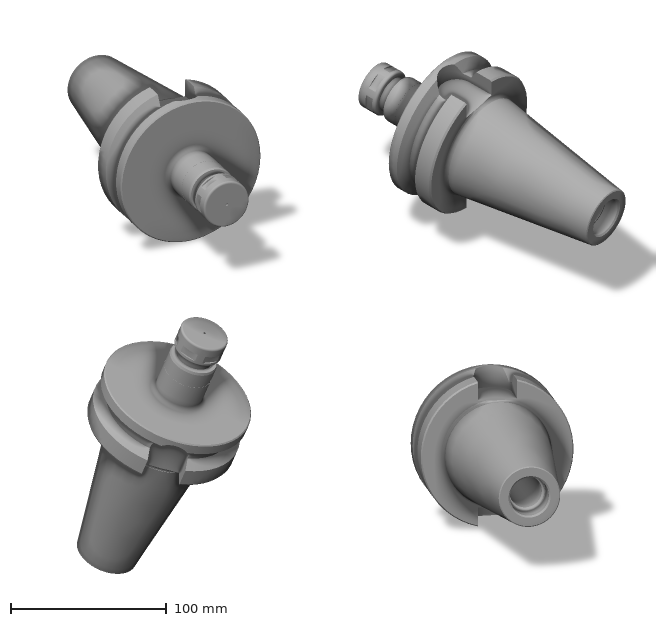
import cadquery as cq
import math

TOTAL_LENGTH = 191.8
GAUGE_X = 101.8
GAUGE_RADIUS = 35.0
TAPER_RATIO = 7 / 24
TAPER_END_RADIUS = GAUGE_RADIUS - GAUGE_X * TAPER_RATIO / 2
TAPER_END_CHAMFER = 0.5
NECK_RADIUS = 34.5
NECK_FILLET = 2.0

FLANGE_RADIUS = 100.0 / 2
FLANGE_START_X = 104.7
FLANGE_END_X = 139.6
FLANGE_CHAMFER = 0.8
FLANGE_FACE_CHAMFER_LENGTH = 1.3
GROOVE_START_X = 117.4
GROOVE_END_X = 132.3
GROOVE_FLOOR_START_X = 121.6
GROOVE_FLOOR_END_X = 127.7
GROOVE_RADIUS = 42.5

SLOT_WIDTH = 25.7
SLOT_END_X = 135.8
SLOT_FLOOR_Z = 35.5

BODY_RADIUS = 32.0 / 2
BODY_END_X = 171.0
BODY_CHAMFER_LENGTH = 1.7
BODY_CHAMFER_DEPTH = 0.5
BODY_FILLET = 2.9
BAND_START_X = 158.8
BAND_END_X = 161.1
BAND_DEPTH = 0.1
NOSE_RADIUS = 24.0 / 2

NUT_START_X = 177.2
NUT_RADIUS = BODY_RADIUS
NUT_FILLET = 1.3
NUT_FLAT_COUNT = 6
NUT_FIRST_FLAT_ANGLE = 90
NUT_FLAT_START_X = 180.1
NUT_FLAT_END_X = 185.5
NUT_FLAT_DISTANCE = 15.0

BORE_CHAMFER_RADIUS = 13.8
BORE_RADIUS = 25.5 / 2
BORE_DEPTH = 11.0
THREAD_MOUTH_RADIUS = 24.0 / 2
THREAD_MOUTH_X = 11.5
THREAD_RADIUS = 10.5
THREAD_DEPTH = 67.1
DRILL_TIP_ANGLE = 118
CONE_END_RADIUS = 12.9 / 2
COOLANT_MOUTH_RADIUS = 2.5
COOLANT_RADIUS = 4.5 / 2
COOLANT_DEPTH = 153.5
THROUGH_RADIUS = 1.0


def make_body():
    """Revolve the outer profile of shank, flange and collet chuck."""
    profile = (
        cq.Workplane("XY")
        .moveTo(0, 0)
        .lineTo(0, TAPER_END_RADIUS - TAPER_END_CHAMFER)
        .lineTo(TAPER_END_CHAMFER, TAPER_END_RADIUS + TAPER_END_CHAMFER * TAPER_RATIO / 2)
        .lineTo(GAUGE_X, GAUGE_RADIUS)
        .lineTo(GAUGE_X, NECK_RADIUS)
        .lineTo(FLANGE_START_X - NECK_FILLET, NECK_RADIUS)
        .radiusArc((FLANGE_START_X, NECK_RADIUS + NECK_FILLET), -NECK_FILLET)
        .lineTo(FLANGE_START_X, FLANGE_RADIUS - FLANGE_CHAMFER)
        .lineTo(FLANGE_START_X + FLANGE_FACE_CHAMFER_LENGTH, FLANGE_RADIUS)
        .lineTo(GROOVE_START_X, FLANGE_RADIUS)
        .lineTo(GROOVE_FLOOR_START_X, GROOVE_RADIUS)
        .lineTo(GROOVE_FLOOR_END_X, GROOVE_RADIUS)
        .lineTo(GROOVE_END_X, FLANGE_RADIUS)
        .lineTo(FLANGE_END_X - FLANGE_CHAMFER, FLANGE_RADIUS)
        .lineTo(FLANGE_END_X, FLANGE_RADIUS - FLANGE_CHAMFER)
        .lineTo(FLANGE_END_X, BODY_RADIUS + BODY_FILLET)
        .radiusArc((FLANGE_END_X + BODY_FILLET, BODY_RADIUS), -BODY_FILLET)
        .lineTo(BAND_START_X, BODY_RADIUS)
        .lineTo(BAND_START_X, BODY_RADIUS - BAND_DEPTH)
        .lineTo(BAND_END_X, BODY_RADIUS - BAND_DEPTH)
        .lineTo(BAND_END_X, BODY_RADIUS)
        .lineTo(BODY_END_X - BODY_CHAMFER_LENGTH, BODY_RADIUS)
        .lineTo(BODY_END_X, BODY_RADIUS - BODY_CHAMFER_DEPTH)
        .lineTo(BODY_END_X, NOSE_RADIUS)
        .lineTo(NUT_START_X, NOSE_RADIUS)
        .lineTo(NUT_START_X, 0)
        .close()
    )
    return profile.revolve(360, (0, 0, 0), (1, 0, 0))


def make_nut():
    """Round nut with rounded rims and a ring of wrench flats."""
    nut = (
        cq.Workplane("YZ", origin=(NUT_START_X, 0, 0))
        .circle(NUT_RADIUS)
        .extrude(TOTAL_LENGTH - NUT_START_X)
        .edges()
        .fillet(NUT_FILLET)
    )
    cutter = (
        cq.Workplane("XY", origin=(NUT_FLAT_START_X, 0, NUT_FLAT_DISTANCE))
        .box(NUT_FLAT_END_X - NUT_FLAT_START_X, 2 * NUT_RADIUS, NUT_RADIUS, centered=(False, True, False))
    )
    for index in range(NUT_FLAT_COUNT):
        angle = NUT_FIRST_FLAT_ANGLE + index * 360 / NUT_FLAT_COUNT
        nut = nut.cut(cutter.rotate((0, 0, 0), (1, 0, 0), angle))
    return nut


def make_drive_slot():
    """Cutter for the upper drive slot: straight sides and a round inner end."""
    half_width = SLOT_WIDTH / 2
    return (
        cq.Workplane("XY", origin=(0, 0, SLOT_FLOOR_Z))
        .moveTo(GAUGE_X, -half_width)
        .lineTo(SLOT_END_X - half_width, -half_width)
        .threePointArc((SLOT_END_X, 0), (SLOT_END_X - half_width, half_width))
        .lineTo(GAUGE_X, half_width)
        .close()
        .extrude(FLANGE_RADIUS)
    )


def make_bore():
    """Revolved cutter for the draw-bar bore and the coolant hole."""
    entry_length = BORE_CHAMFER_RADIUS - BORE_RADIUS
    thread_chamfer = THREAD_MOUTH_RADIUS - THREAD_RADIUS
    cone_length = (THREAD_RADIUS - CONE_END_RADIUS) / math.tan(math.radians(DRILL_TIP_ANGLE / 2))
    floor_x = THREAD_DEPTH + cone_length
    coolant_chamfer = COOLANT_MOUTH_RADIUS - COOLANT_RADIUS
    profile = (
        cq.Workplane("XY")
        .moveTo(0, 0)
        .lineTo(0, BORE_CHAMFER_RADIUS)
        .lineTo(entry_length, BORE_RADIUS)
        .lineTo(BORE_DEPTH, BORE_RADIUS)
        .lineTo(BORE_DEPTH, THREAD_MOUTH_RADIUS)
        .lineTo(THREAD_MOUTH_X, THREAD_MOUTH_RADIUS)
        .lineTo(THREAD_MOUTH_X + thread_chamfer, THREAD_RADIUS)
        .lineTo(THREAD_DEPTH, THREAD_RADIUS)
        .lineTo(floor_x, CONE_END_RADIUS)
        .lineTo(floor_x, COOLANT_MOUTH_RADIUS)
        .lineTo(floor_x + coolant_chamfer, COOLANT_RADIUS)
        .lineTo(COOLANT_DEPTH, COOLANT_RADIUS)
        .lineTo(COOLANT_DEPTH, THROUGH_RADIUS)
        .lineTo(TOTAL_LENGTH, THROUGH_RADIUS)
        .lineTo(TOTAL_LENGTH, 0)
        .close()
    )
    return profile.revolve(360, (0, 0, 0), (1, 0, 0))


drive_slot = make_drive_slot()
result = (
    make_body()
    .cut(drive_slot)
    .cut(drive_slot.rotate((0, 0, 0), (1, 0, 0), 180))
    .union(make_nut())
    .cut(make_bore())
)